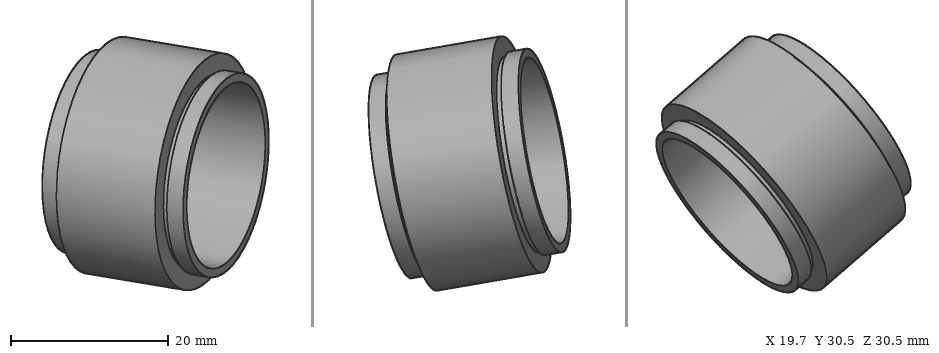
import cadquery as cq

total_length = 19.67
body_length = 13.75
body_diameter = 30.5
bore_diameter = 24.0

collar_diameter = 26.3
collar_width = 2.25
groove_diameter = 25.3

end_x = total_length / 2
collar_x = end_x - collar_width
body_x = body_length / 2
bore_radius = bore_diameter / 2
collar_radius = collar_diameter / 2
groove_radius = groove_diameter / 2
body_radius = body_diameter / 2

right_steps = [
    (end_x, bore_radius),
    (end_x, collar_radius),
    (collar_x, collar_radius),
    (collar_x, groove_radius),
    (body_x, groove_radius),
    (body_x, body_radius),
]
left_steps = [(-x, radius) for x, radius in reversed(right_steps)]

result = (
    cq.Workplane("XZ")
    .polyline(right_steps + left_steps)
    .close()
    .revolve(360, (0, 0, 0), (1, 0, 0))
)